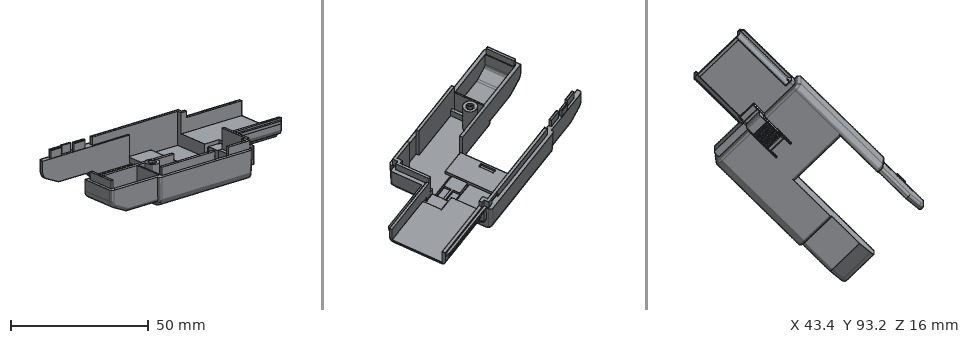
import cadquery as cq
import math


body_bottom = 1.1
arm_bottom = 2.8
tongue_bottom = 5.8
rim_top = 12.7
lip_top = 15.85
tab_top = 16.0
tongue_lip_top = 13.4
cavity_floor = 2.6
bridge_top = 3.9
pocket_floor = 3.9
tongue_floor = 7.6
overlap = 0.9
clear_top = tab_top + overlap
clear_bottom = -overlap

total_length = 93.25
body_front = 21.6
body_rear = 66.2
opening_rear = 41.2
bridge_rear = 51.9
cavity_front = 24.15
cavity_rear = 64.5
left_neck_rear = 67.8
right_neck_rear = 68.7
neck_lip_rear = 67.1
shelf_rear = 66.1

body_half = 21.7
arm_half = 20.5
lip_outer = 20.3
lip_inner = 19.1
lip_thickness = lip_outer - lip_inner
opening_left = -18.4
opening_right = 5.4
arm_wall_inner = 6.6
neck_half = 19.5
neck_lip_outer = 18.2
neck_lip_inner = neck_lip_outer - lip_thickness
tongue_left = -18.4
tongue_right = 5.2
tongue_inner_left = -17.1
tongue_inner_right = 4.1

body_draft = 1.7
body_side_radius = 2.7
end_radius = 0.8
corner_radius = 1.1


def block(x, y, z):
    """Box spanning the (low, high) pairs along X, Y and Z."""
    return (
        cq.Workplane("XY")
        .box(x[1] - x[0], y[1] - y[0], z[1] - z[0], centered=False)
        .translate((x[0], y[0], z[0]))
    )


def side_profile(points, x):
    """Closed (y, z) outline extruded across the (low, high) pair along X."""
    return (
        cq.Workplane("YZ").workplane(offset=x[0])
        .polyline(points).close().extrude(x[1] - x[0])
    )


def at_point(x, y, z):
    """Selector for the edges whose centre lies within a small box around a point."""
    reach = 0.1
    return cq.selectors.BoxSelector(
        (x - reach, y - reach, z - reach), (x + reach, y + reach, z + reach)
    )


def drafted_block():
    return (
        cq.Workplane("XY", origin=(0, (body_front + body_rear) / 2, rim_top))
        .rect(2 * body_half, body_rear - body_front)
        .extrude(body_bottom - rim_top, taper=body_draft)
    )


def body():
    """Drafted block with rounded upright corners and rounded bottom edges of two radii."""
    rounded_corners = drafted_block().edges("not (|X or |Y)").fillet(corner_radius)
    rounded_bottom = drafted_block().faces("<Z").edges("|Y").fillet(body_side_radius)
    rounded_bottom = rounded_bottom.faces("<Z").edges("|X").fillet(end_radius)
    return rounded_corners.intersect(rounded_bottom)


slope_start_y = 7.55
slope_end_z = 6.25
slope_angle = math.atan2(slope_end_z - arm_bottom, slope_start_y)
nose_radius = 3.1
arm_edge_radius = 1.1
arm_root = body_front + overlap


def arms():
    points = [
        (arm_root, rim_top),
        (0, rim_top),
        (0, slope_end_z),
        (slope_start_y, arm_bottom),
        (arm_root, arm_bottom),
    ]
    solid = side_profile(points, (-arm_half, arm_half))
    solid = solid.edges(at_point(0, 0, slope_end_z)).fillet(nose_radius)
    return solid.faces("<X or >X").edges("not (>Z or >Y)").fillet(arm_edge_radius)


strip_bottom = 11.6
strip_overhang = 1.0
tongue_shell_bottom = 6.7
tongue_radius = 1.9
tongue_front = cavity_rear
end_chamfer = 1.0
neck_radius = 0.7


def tongue():
    y = (tongue_front, total_length)
    shell = block((tongue_left, tongue_right), y, (tongue_shell_bottom, tongue_lip_top))
    shell = shell.faces("<Z").edges("|Y").fillet(tongue_radius)
    strip = block(
        (tongue_left - strip_overhang, tongue_right + strip_overhang), y, (strip_bottom, rim_top)
    )
    strip = strip.edges("|Z and >Y").chamfer(end_chamfer)
    pad = block(
        (tongue_left + tongue_radius, tongue_right - tongue_radius), y,
        (tongue_bottom, tongue_shell_bottom + tongue_radius),
    )
    pad = pad.edges("<Z and >Y").chamfer(end_chamfer)
    return shell.union(strip).union(pad)


def neck():
    front = cavity_rear
    z = (tongue_bottom, rim_top)
    left = block((-neck_half, 0), (front, left_neck_rear), z)
    left = left.edges("<X and <Z").fillet(neck_radius)
    right = block((0, neck_half), (front, right_neck_rear), z)
    right = right.edges("|Z and >X and >Y").fillet(neck_radius)
    blend = neck_half + tongue_left
    web = block(
        (-neck_half, tongue_left), (left_neck_rear, left_neck_rear + blend),
        (tongue_shell_bottom, strip_bottom),
    )
    hollow = (
        cq.Workplane("XY", origin=(-neck_half, left_neck_rear + blend, tongue_shell_bottom))
        .circle(blend).extrude(strip_bottom - tongue_shell_bottom)
    )
    return left.union(right).union(web.cut(hollow))


jog_rear = 65.7


def lip():
    z = (rim_top - overlap, lip_top)
    pieces = [
        block((-lip_outer, -lip_inner), (cavity_front, jog_rear), z),
        block((-lip_outer, tongue_inner_left), (cavity_rear, jog_rear), z),
        block((tongue_left, tongue_inner_left), (cavity_rear, neck_lip_rear), z),
        block((lip_inner, lip_outer), (cavity_front, jog_rear), z),
        block((neck_lip_inner, lip_outer), (cavity_rear, jog_rear), z),
        block((neck_lip_inner, neck_lip_outer), (cavity_rear, neck_lip_rear), z),
        block((tongue_inner_right, neck_lip_outer), (shelf_rear, neck_lip_rear), z),
    ]
    solid = pieces[0]
    for piece in pieces[1:]:
        solid = solid.union(piece)
    return solid


gap_y = (49.1, 55.7)


def cavity():
    z = (cavity_floor, clear_top)
    main = block((-lip_inner, lip_inner), (opening_rear, cavity_rear), z)
    front = block((arm_wall_inner, lip_inner), (cavity_front, opening_rear), z)
    gap = block((arm_wall_inner, lip_outer), gap_y, z)
    return main.union(front).union(gap)


def channel():
    """Tongue channel and the shelf beside it, on one level."""
    z = (tongue_floor, clear_top)
    trough = block((tongue_inner_left, tongue_inner_right), (cavity_rear, total_length), z)
    shelf = block((tongue_inner_left, neck_lip_inner), (cavity_rear, shelf_rear), z)
    return trough.union(shelf)


pocket_rear = 23.6
pocket_front = 2.5
pocket_left = 6.8
pocket_right = 19.0
pocket_bend_y = 8.1
pocket_bend_radius = 2.3
pocket_nose_radius = 1.4


def pocket():
    """Arm pocket with a floor that climbs parallel to the underside."""
    end_z = pocket_floor + (pocket_bend_y - pocket_front) * math.tan(slope_angle)
    points = [
        (pocket_rear, clear_top),
        (pocket_front, clear_top),
        (pocket_front, end_z),
        (pocket_bend_y, pocket_floor),
        (pocket_rear, pocket_floor),
    ]
    x = (pocket_left, pocket_right)
    middle = (x[0] + x[1]) / 2
    solid = side_profile(points, x)
    solid = solid.edges(at_point(middle, pocket_bend_y, pocket_floor)).fillet(pocket_bend_radius)
    return solid.edges(at_point(middle, pocket_front, end_z)).fillet(pocket_nose_radius)


def opening():
    """Space between the arms, with the floor cut back where the rounded bridge edge goes."""
    x = (opening_left, opening_right)
    between_arms = block(x, (-overlap, opening_rear), (clear_bottom, clear_top))
    floor_cut = block(x, (-overlap, opening_rear + end_radius), (clear_bottom, cavity_floor))
    return between_arms.union(floor_cut)


bridge_right = 6.3
notch_x = (-8.95, -2.9)
notch_y = (42.1, 43.6)
notch_depth = 0.9


def bridge():
    plate = block((-lip_inner, bridge_right), (opening_rear, bridge_rear), (body_bottom, bridge_top))
    plate = plate.edges("<Y and <Z").fillet(end_radius)
    return plate.cut(block(notch_x, notch_y, (bridge_top - notch_depth, clear_top)))


window_x = (-3.8, 4.1)
window_rear = 71.4
latch_x = (-3.2, 3.5)
latch_root_top = 2.9
latch_strip_top = 2.0
latch_strip_y = (57.5, 65.7)
latch_head_top = 6.5
latch_head_bottom = 5.6
latch_head_rear = 71.15
latch_post_rear = 67.8
pad_front = 55.3
pad_edge_radius = 0.5
hook_y = 69.1
hook_z = 4.6
hook_tip_z = 5.8
latch_rib_x = (-0.4, 0.6)
latch_rib_radius = 1.9
groove_count = 7
groove_pitch = 1.1
groove_start = 56.8
groove_width = 0.7
groove_depth = 0.4


def latch_window():
    return block(window_x, (bridge_rear, window_rear), (clear_bottom, tongue_floor))


def latch():
    strip_front, strip_rear = latch_strip_y
    points = [
        (bridge_rear - overlap, body_bottom),
        (pad_front, body_bottom),
        (pad_front, 0),
        (latch_post_rear, 0),
        (latch_post_rear, latch_head_bottom),
        (hook_y, latch_head_bottom),
        (hook_y, hook_z),
        (latch_head_rear, hook_tip_z),
        (latch_head_rear, latch_head_top),
        (strip_rear, latch_head_top),
        (strip_rear, latch_strip_top),
        (strip_front, latch_strip_top),
        (strip_front, latch_root_top),
        (bridge_rear - overlap, latch_root_top),
    ]
    solid = side_profile(points, latch_x)
    solid = solid.faces("<Z").edges("|X").fillet(pad_edge_radius)
    for index in range(groove_count):
        y = groove_start + index * groove_pitch
        groove = [(y, 0), (y + groove_width, 0), (y + groove_width / 2, groove_depth)]
        solid = solid.cut(side_profile(groove, latch_x))
    return solid.union(latch_rib())


def latch_rib():
    """Rib along the latch strip that sweeps up into the head."""
    front, rear = latch_strip_y
    profile = (
        cq.Workplane("YZ").workplane(offset=latch_rib_x[0])
        .moveTo(front, body_bottom)
        .lineTo(rear, body_bottom)
        .lineTo(rear, latch_root_top + latch_rib_radius)
        .radiusArc((rear - latch_rib_radius, latch_root_top), latch_rib_radius)
        .lineTo(front, latch_root_top)
        .close()
    )
    return profile.extrude(latch_rib_x[1] - latch_rib_x[0])


boss_x = 10.2
boss_y = 28.0
boss_top = 14.0
boss_radius = 2.7
boss_mouth_radius = 1.5
boss_mouth_depth = 0.9
boss_hole_radius = 0.9
stop_x = (13.3, 19.2)
stop_y = (25.55, 26.8)
stop_height = 2.8


def boss():
    height = boss_top - cavity_floor
    post = (
        cq.Workplane("XY", origin=(boss_x, boss_y, cavity_floor))
        .circle(boss_radius).extrude(height)
    )
    return post.faces(">Z").workplane().cboreHole(
        2 * boss_hole_radius, 2 * boss_mouth_radius, boss_mouth_depth, depth=height
    )


def stop_rib():
    return block(stop_x, stop_y, (cavity_floor, cavity_floor + stop_height))


tab_thickness = 1.0
inner_tab_x = -19.6
middle_tab_x = -20.4
inner_tabs_y = [(4.1, 8.95), (15.0, 20.2)]
middle_tab_y = (10.1, 14.2)
tab_bevel = 0.3
end_tab_x = (6.9, 18.7)
end_tab_y = (1.2, 2.2)


def tabs():
    z = (rim_top - overlap, tab_top)
    solid = block((middle_tab_x, middle_tab_x + tab_thickness), middle_tab_y, z)
    solid = solid.edges("<X and >Z").chamfer(tab_bevel)
    for y in inner_tabs_y:
        tab = block((inner_tab_x, inner_tab_x + tab_thickness), y, z)
        solid = solid.union(tab.edges(">X and >Z").chamfer(tab_bevel))
    return solid.union(block(end_tab_x, end_tab_y, (z[0], lip_top)))


recess_y = (59.3, 63.4)
recess_top = 14.4
recess_depth = 0.65


def lip_recess():
    """Shallow recess in the outer face of the left lip."""
    return block((-lip_outer, -lip_outer + recess_depth), recess_y, (rim_top, recess_top))


shell = body().union(arms()).union(neck()).union(tongue())
shell = shell.union(lip().cut(lip_recess()))
for hollow in (cavity(), channel(), pocket(), opening()):
    shell = shell.cut(hollow)
shell = shell.union(bridge().intersect(body())).cut(latch_window())
for addition in (latch(), boss(), stop_rib(), tabs()):
    shell = shell.union(addition)

result = shell